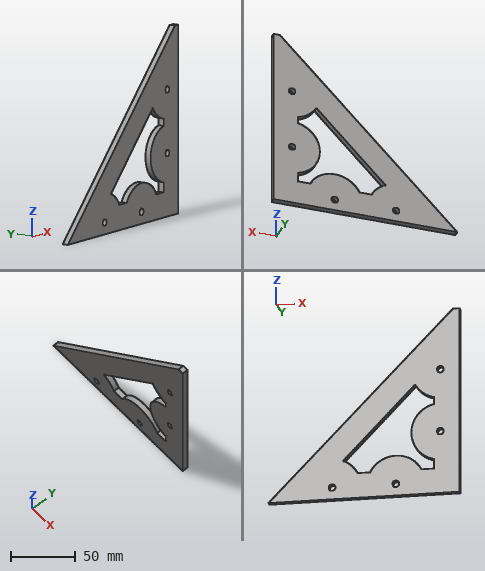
import cadquery as cq

base_length = 150.0
height = 148.5
thickness = 5.0
top_flat = 5.0

hole_diameter = 5.2
land_radius = 22.8
hole_distances = (50.0, 100.0)
base_hole_inset = 9.5
upright_hole_inset = 15.0

window_inset = 20.0
window_base_reach = 101.5
window_upright_reach = 104.0

base_holes = [(-distance, base_hole_inset) for distance in hole_distances]
upright_holes = [(-upright_hole_inset, distance) for distance in hole_distances]
hole_centers = base_holes + upright_holes


def extrude_profile(profile):
    """Give an XZ profile the plate thickness, centred on Y = 0."""
    return profile.extrude(thickness / 2, both=True)


def triangular_plate():
    outline = [(-base_length, 0), (0, 0), (0, height), (-top_flat, height)]
    return extrude_profile(cq.Workplane("XZ").polyline(outline).close())


def window():
    """Triangular opening, cut back by the round lands around the holes."""
    outline = [
        (-window_base_reach, window_inset),
        (-window_inset, window_inset),
        (-window_inset, window_upright_reach),
    ]
    triangle = extrude_profile(cq.Workplane("XZ").polyline(outline).close())
    lands = extrude_profile(cq.Workplane("XZ").pushPoints(hole_centers).circle(land_radius))
    return triangle.cut(lands)


def mounting_holes():
    return extrude_profile(cq.Workplane("XZ").pushPoints(hole_centers).circle(hole_diameter / 2))


result = triangular_plate().cut(window()).cut(mounting_holes())